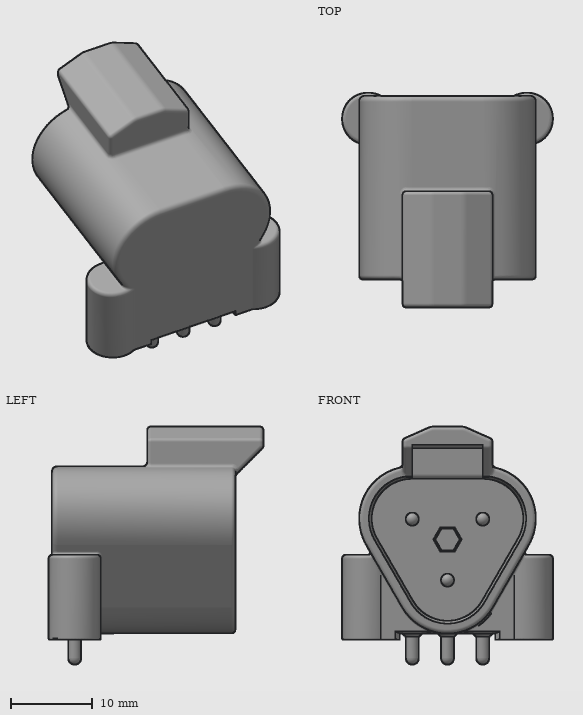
import cadquery as cq
import math


contact_pitch = 8.6
contact_radius = 0.8
contact_length = 7.5
tail_length = 3.04
tail_root_height = 0.42

corner_pitch = 8.8
corner_radius = 6.4
housing_length = 22.43
standoff = 0.77
mouth_fillet = 0.5
back_fillet = 0.7

cavity_radius = 4.85
entry_radius = 5.2
entry_depth = 1.15
entry_blend = 1.0

hexagon_width = 3.45
hexagon_height = 0.2
hexagon_taper = 45

overall_width = 25.77
boss_radius = 3.2
boss_top_z = 10.4
boss_fillet = 0.5
seat_fillet = 0.2
mount_root_fillet = 0.25
plate_half_thickness = 2.8

clearance_half_width = 5.8
clearance_flare_side = 0.55
clearance_flare_top = 0.25

hood_half_width = 5.5
hood_flat_half_width = 2.0
hood_top_z = 26.05
hood_shoulder_z = 24.5
hood_overhang = 3.42
hood_back_y = 10.8
hood_nose_z = 23.5
hood_ridge_fillet = 1.6
hood_edge_fillet = 0.5
hood_root_fillet = 0.5

pocket_half_width = 4.3
pocket_top_z = 23.4
pocket_lead_in = 0.43
pocket_edge_fillet = 0.6

cos_30 = math.cos(math.radians(30))
sin_30 = math.sin(math.radians(30))
lower_z = standoff + corner_radius
upper_z = lower_z + corner_pitch * cos_30
half_pitch = corner_pitch / 2
centre_z = (2 * upper_z + lower_z) / 3
contact_half_pitch = contact_pitch / 2
contact_triangle_height = contact_pitch * cos_30
contact_upper_z = centre_z + contact_triangle_height / 3
contact_lower_z = centre_z - contact_triangle_height * 2 / 3
contact_places = [
    (-contact_half_pitch, contact_upper_z),
    (contact_half_pitch, contact_upper_z),
    (0, contact_lower_z),
]
boss_x = overall_width / 2 - boss_radius
boss_y = housing_length - plate_half_thickness
plate_front_y = boss_y - plate_half_thickness
cavity_depth = plate_front_y
hood_side_wall = hood_half_width - pocket_half_width
pocket_back_y = hood_back_y - hood_side_wall
hood_nose_y = -hood_overhang

overlap = 1.0
edge_tolerance = 1e-4
selection_margin = 0.1


def triangle_profile(radius, y):
    """Rounded triangle in the plane at the given Y, its corner arcs of the given radius."""
    side_x = radius * cos_30
    side_z = radius * sin_30
    return (
        cq.Workplane("XZ", origin=(0, y, 0))
        .moveTo(-half_pitch, upper_z + radius)
        .lineTo(half_pitch, upper_z + radius)
        .threePointArc(
            (half_pitch + side_x, upper_z + side_z),
            (half_pitch + side_x, upper_z - side_z),
        )
        .lineTo(side_x, lower_z - side_z)
        .threePointArc((0, lower_z - radius), (-side_x, lower_z - side_z))
        .lineTo(-half_pitch - side_x, upper_z - side_z)
        .threePointArc(
            (-half_pitch - side_x, upper_z + side_z),
            (-half_pitch, upper_z + radius),
        )
        .close()
    )


def lies_on(edge, shape):
    """True when the edge runs along the surface of the shape."""
    surface = cq.Compound.makeCompound(shape.Faces())
    samples = [edge.positionAt(share) for share in (0.1, 0.5, 0.9)]
    return all(
        cq.Vertex.makeVertex(*sample.toTuple()).distance(surface) < edge_tolerance
        for sample in samples
    )


def join_with_fillet(body, addition, radius):
    """Unite two bodies and round the edges where they meet."""
    joined = body.union(addition)
    seam = [
        edge
        for edge in joined.edges().vals()
        if lies_on(edge, body.val()) and lies_on(edge, addition.val())
    ]
    return joined.newObject(seam).fillet(radius)


def make_housing():
    """Solid outer body with its rear and mouth edges rounded."""
    body = triangle_profile(corner_radius, 0).extrude(-housing_length)
    body = body.faces(">Y").edges().fillet(back_fillet)
    return body.faces("<Y").edges().fillet(mouth_fillet)


def make_hood():
    """Hood with sloped shoulders, overhanging the mouth above a 45 degree undercut."""
    base_z = upper_z
    hood = (
        cq.Workplane("XZ", origin=(0, hood_nose_y, 0))
        .moveTo(-hood_half_width, base_z)
        .lineTo(-hood_half_width, hood_shoulder_z)
        .lineTo(-hood_flat_half_width, hood_top_z)
        .lineTo(hood_flat_half_width, hood_top_z)
        .lineTo(hood_half_width, hood_shoulder_z)
        .lineTo(hood_half_width, base_z)
        .close()
        .extrude(-(hood_back_y + hood_overhang))
    )
    slope_run = hood_nose_z - base_z
    undercut = (
        cq.Workplane("YZ", origin=(-hood_half_width - overlap, 0, 0))
        .moveTo(hood_nose_y, hood_nose_z)
        .lineTo(hood_nose_y + slope_run, base_z)
        .lineTo(hood_nose_y, base_z)
        .close()
        .extrude(2 * (hood_half_width + overlap))
    )
    hood = hood.cut(undercut)
    for ridge_x in (-hood_flat_half_width, hood_flat_half_width):
        ridge = cq.selectors.BoxSelector(
            (ridge_x - selection_margin, hood_nose_y, hood_top_z - selection_margin),
            (ridge_x + selection_margin, hood_back_y, hood_top_z + selection_margin),
        )
        hood = hood.edges(ridge).fillet(hood_ridge_fillet)
    outer_edges = hood.faces("<Y or >Y or <X or >X").edges("not <Z")
    return outer_edges.fillet(hood_edge_fillet)


def make_mounts():
    """Two bosses and the plate between them."""
    bosses = (
        cq.Workplane("XY")
        .pushPoints([(-boss_x, boss_y), (boss_x, boss_y)])
        .circle(boss_radius)
        .extrude(boss_top_z)
    )
    bosses = bosses.faces(">Z").edges().fillet(boss_fillet)
    plate = (
        cq.Workplane("XY")
        .center(0, boss_y)
        .rect(2 * boss_x, 2 * plate_half_thickness)
        .extrude(boss_top_z - boss_fillet)
    )
    mounts = bosses.union(plate)
    return mounts.faces("<Z").edges().fillet(seat_fillet)


def make_cavity():
    """Tapered entry blended into the straight main cavity."""
    entry_angle = math.degrees(math.atan2(entry_radius - cavity_radius, entry_depth))
    entry = triangle_profile(entry_radius, 0).extrude(-entry_depth, taper=entry_angle)
    main = triangle_profile(cavity_radius, entry_depth).extrude(entry_depth - cavity_depth)
    return join_with_fillet(main, entry, entry_blend)


def make_pocket():
    """Latch pocket with a 45 degree lead-in at the nose of the hood."""
    return (
        cq.Workplane("YZ", origin=(-pocket_half_width, 0, 0))
        .moveTo(hood_nose_y, upper_z)
        .lineTo(hood_nose_y, pocket_top_z + pocket_lead_in)
        .lineTo(hood_nose_y + pocket_lead_in, pocket_top_z)
        .lineTo(pocket_back_y, pocket_top_z)
        .lineTo(pocket_back_y, upper_z + cavity_radius + pocket_edge_fillet)
        .radiusArc(
            (pocket_back_y + pocket_edge_fillet, upper_z + cavity_radius),
            -pocket_edge_fillet,
        )
        .lineTo(pocket_back_y + pocket_edge_fillet, upper_z)
        .close()
        .extrude(2 * pocket_half_width)
    )


def make_clearance():
    """Space under the plate, wider and taller at its front face."""
    flare_half_width = clearance_half_width + clearance_flare_side
    channel = cq.Workplane("XY", origin=(0, boss_y, 0)).box(
        2 * clearance_half_width, 2 * boss_radius, 2 * standoff
    )
    flare = (
        cq.Workplane("XZ", origin=(0, plate_front_y, 0))
        .rect(2 * flare_half_width, 2 * (standoff + clearance_flare_top))
        .workplane(offset=-clearance_flare_side)
        .rect(2 * clearance_half_width, 2 * standoff)
        .loft(ruled=True)
    )
    return channel.union(flare)


def domed_pin(start, direction, length):
    """Round pin whose far end is a hemisphere."""
    shank_length = length - contact_radius
    tip = start + direction * shank_length
    shank = cq.Solid.makeCylinder(contact_radius, shank_length, start, direction)
    dome = cq.Workplane("XY").sphere(contact_radius).translate(tip)
    return cq.Workplane(shank).union(dome)


def make_contact(x, z):
    """Contact pin that starts inside the rear wall and stands in the cavity."""
    start = cq.Vector(x, boss_y, z)
    return domed_pin(start, cq.Vector(0, -1, 0), boss_y - cavity_depth + contact_length)


def make_tail(x):
    """Solder tail with a conical root under the plate."""
    start = cq.Vector(x, boss_y, standoff + overlap)
    tail = domed_pin(start, cq.Vector(0, 0, -1), standoff + overlap + tail_length)
    root = cq.Solid.makeCone(
        contact_radius,
        contact_radius + tail_root_height,
        tail_root_height,
        cq.Vector(x, boss_y, standoff - tail_root_height),
    )
    return tail.union(cq.Workplane(root))


def make_hexagon():
    """Low hexagonal boss with sloping sides."""
    return (
        cq.Workplane("XZ", origin=(0, cavity_depth, centre_z))
        .polygon(6, hexagon_width)
        .extrude(hexagon_height, taper=hexagon_taper)
    )


result = join_with_fillet(make_housing(), make_hood(), hood_root_fillet)
result = join_with_fillet(result, make_mounts(), mount_root_fillet)
result = result.cut(make_cavity()).cut(make_pocket()).cut(make_clearance())
result = result.union(make_hexagon())
for place_x, place_z in contact_places:
    result = result.union(make_contact(place_x, place_z)).union(make_tail(place_x))